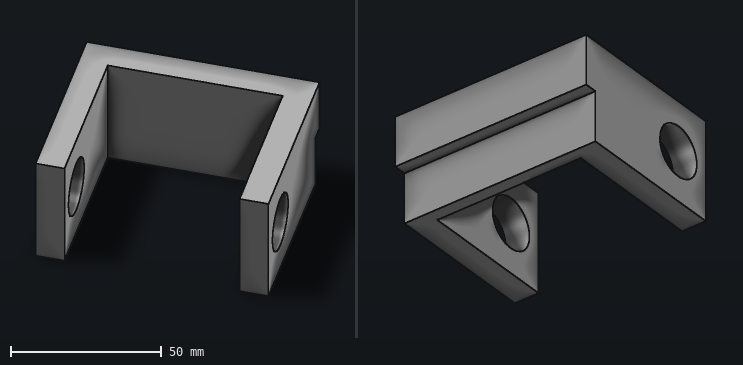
import cadquery as cq

width = 80.0
depth = 65.0
height = 40.0
wall = 10.0

pin_hole_diameter = 20.0
pin_hole_setback = 15.0
pin_hole_height = height / 2

step_depth = 5.0
step_height = height / 2


def corner_box(size_x, size_y, size_z, x, y, z):
    """Box with its lowest corner at (x, y, z)."""
    box = cq.Workplane("XY").box(size_x, size_y, size_z, centered=False)
    return box.translate((x, y, z))


def clevis_body():
    """U-shaped body: a back wall at +Y with two arms reaching toward -Y."""
    block = corner_box(width, depth, height, -width / 2, 0, 0)
    gap_width = width - 2 * wall
    gap = corner_box(gap_width, depth - wall, height, -gap_width / 2, 0, 0)
    return block.cut(gap)


def back_step():
    """Rebate along the lower back edge, across the full width."""
    return corner_box(width, step_depth, step_height, -width / 2, depth - step_depth, 0)


def pin_hole():
    """Pin hole along X through both arms."""
    return (
        cq.Workplane("YZ")
        .center(pin_hole_setback, pin_hole_height)
        .circle(pin_hole_diameter / 2)
        .extrude(width / 2, both=True)
    )


result = clevis_body().cut(back_step()).cut(pin_hole())